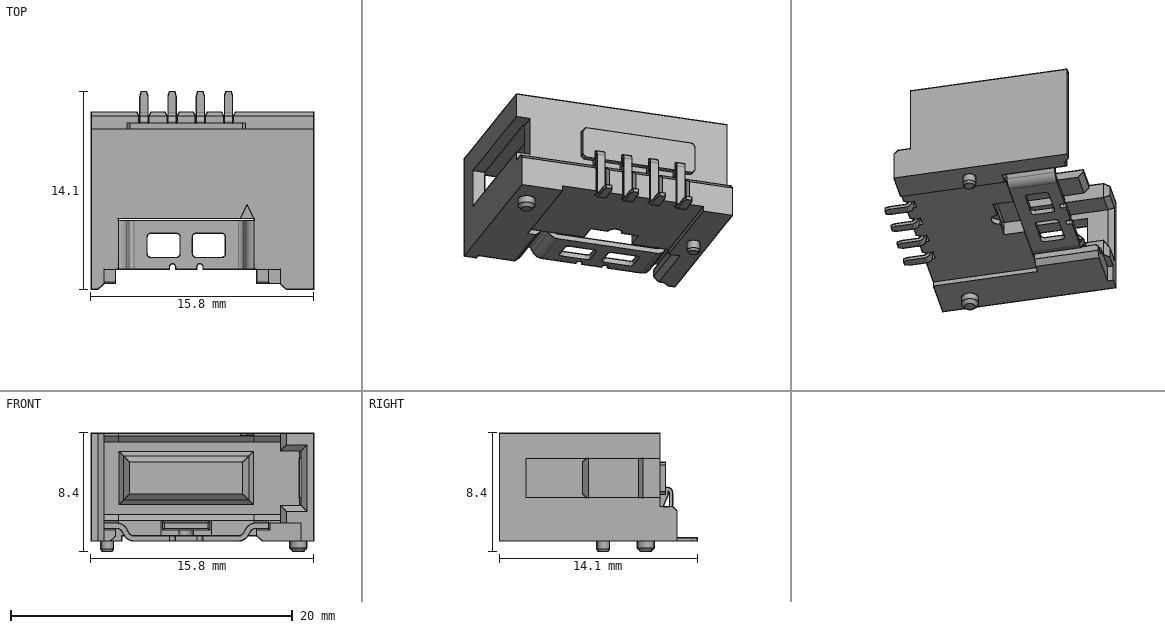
import cadquery as cq
import math


WIDTH = 15.8
LEFT_X = -6.75
RIGHT_X = LEFT_X + WIDTH
HEIGHT = 7.65
UPPER_DEPTH = 11.4
TAIL_DEPTH = 12.6
TAIL_HEIGHT = 2.45
TAIL_CHAMFER = 0.3

CAVITY_LEFT = -5.84
CAVITY_RIGHT = 6.68
CAVITY_BOTTOM = 1.88
CAVITY_TOP = 7.03
CAVITY_BACK = 10.2
KEY_RIGHT = 8.14
KEY_BOTTOM = 2.54
KEY_TOP = 6.4
LEAD_IN = 0.43
LEAD_IN_DEPTH = 0.38

PLATE_FRONT = 1.42
BLOCK_FRONT = 0.41
WINDOW_HALF = 4.81
WINDOW_BACK = 5.02
STEP_TOP = 0.89
STEP_SIDE = 5.82
BLOCK_TOP = 1.27
BLOCK_INNER = 5.0
BLOCK_CHAMFER = 0.4
SLOT_BEVEL = 0.13
SLOT_BEVEL_LOWER = 0.1

CHANNEL_LEFT = -4.56
CHANNEL_RIGHT = 6.0
CHANNEL_HEIGHT = 0.36
NOTCH_HALF = 1.79
NOTCH_BACK = 6.5
POCKET_HALF = 1.55
RECESS_DIAMETER = 1.04

SIDE_WINDOW_LEFT = 8.02
SIDE_WINDOW_FRONT = 1.88
SIDE_WINDOW_BOTTOM = 3.08
SIDE_WINDOW_TOP = 5.87

ARROW_X = 4.32
ARROW_HALF = 0.48
ARROW_LENGTH = 1.0
ARROW_DEPTH = 0.15

CORE_HALF = 4.76
CORE_BOTTOM = 2.59
CORE_TOP = 6.35
CORE_ROOT_FLARE = 0.32
CORE_TIP_Y = 5.9
CORE_CHAMFER = 0.43

PIN_PITCH = 2.0
PIN_COUNT = 4
PIN_WIDTH = 0.6
PIN_THICKNESS = 0.25
PIN_TOP = 3.82
PIN_BACK = 12.3
PIN_TIP_Y = 14.05
PIN_TIP_LENGTH = 0.35
PIN_TIP_INSET = 0.1
PIN_BEND = 0.42
PIN_FOOT_BEND = 0.2
PIN_SLOT_WIDTH = 0.7
PIN_SLOT_FRONT = 11.87
PIN_SLOT_FLARE = 0.15

BOSS_HALF = 4.2
BOSS_BOTTOM = 3.3
BOSS_TOP = 5.6
BOSS_BACK = 11.8
BOSS_CHAMFER = 0.22
RIB_TOP_Y = 11.98
RIB_FOOT_Y = 11.63

CLIP_FRONT = PLATE_FRONT
CLIP_BACK = 4.9
CLIP_THICKNESS = 0.38
CLIP_TAB_HALF = STEP_SIDE
CLIP_TAB_BOTTOM = STEP_TOP
CLIP_TAB_TOP = CLIP_TAB_BOTTOM + CLIP_THICKNESS
CLIP_BEND_OUTER = 4.57
CLIP_BEND_INNER = 4.06
CLIP_BEND_RADIUS = 0.41
HOLE_X = 1.605
HOLE_WIDTH = 2.32
HOLE_LENGTH = 1.7
HOLE_Y = 3.13
HOLE_RADIUS = 0.25
EDGE_NOTCH_X = 0.97
EDGE_NOTCH_WIDTH = 0.42
EDGE_NOTCH_DEPTH = 0.4

PEG_LENGTH = 0.75
PEGS = [
    (-5.61, 7.36, 0.92, 0.1, 0.17),
    (7.95, 10.38, 1.22, 0.24, 0.25),
]


def box(x0, x1, y0, y1, z0, z1):
    """Axis-aligned block between two corners."""
    return cq.Workplane("XY").box(x1 - x0, y1 - y0, z1 - z0, centered=False).translate((x0, y0, z0))


def prism_x(points, x0, x1):
    """Prism of a (y, z) outline between two X positions."""
    return cq.Workplane("YZ", origin=(x0, 0, 0)).polyline(points).close().extrude(x1 - x0)


def prism_y(points, y0, y1):
    """Prism of an (x, z) outline between two Y positions."""
    return cq.Workplane("XZ", origin=(0, y0, 0)).polyline(points).close().extrude(y0 - y1)


def prism_z(points, z0, z1):
    """Prism of an (x, y) outline between two Z positions."""
    return cq.Workplane("XY", origin=(0, 0, z0)).polyline(points).close().extrude(z1 - z0)


def tapered_block(half, z0, z1, y0, y1, inset):
    """Block along Y, centred on X = 0, whose section shrinks by inset from y0 to y1."""
    middle = (z0 + z1) / 2
    height = z1 - z0
    return (
        cq.Workplane("XZ", origin=(0, y0, middle))
        .rect(2 * half, height)
        .workplane(offset=y0 - y1)
        .rect(2 * (half - inset), height - 2 * inset)
        .loft(ruled=True)
    )


def make_shell():
    """Housing block with its low tail at the back."""
    outline = [
        (0, 0),
        (TAIL_DEPTH, 0),
        (TAIL_DEPTH, TAIL_HEIGHT - TAIL_CHAMFER),
        (TAIL_DEPTH - TAIL_CHAMFER, TAIL_HEIGHT),
        (UPPER_DEPTH, TAIL_HEIGHT),
        (UPPER_DEPTH, HEIGHT),
        (0, HEIGHT),
    ]
    return prism_x(outline, LEFT_X, RIGHT_X)


def cut_cavity(body):
    """Cavity, keyway and the lead-in bevels on their walls."""
    body = body.cut(box(CAVITY_LEFT, CAVITY_RIGHT, 0, CAVITY_BACK, CAVITY_BOTTOM, CAVITY_TOP))
    body = body.cut(box(0, KEY_RIGHT, 0, CAVITY_BACK, KEY_BOTTOM, KEY_TOP))

    key_root = KEY_RIGHT - SIDE_WINDOW_LEFT
    root_bevel = [
        (SIDE_WINDOW_LEFT, CAVITY_BACK),
        (KEY_RIGHT, CAVITY_BACK),
        (KEY_RIGHT, CAVITY_BACK - key_root),
    ]
    body = body.union(prism_z(root_bevel, KEY_BOTTOM, KEY_TOP))

    left_bevel = [
        (CAVITY_LEFT - LEAD_IN, 0),
        (CAVITY_RIGHT, 0),
        (CAVITY_RIGHT, LEAD_IN_DEPTH),
        (CAVITY_LEFT, LEAD_IN_DEPTH),
    ]
    body = body.cut(prism_z(left_bevel, 0, HEIGHT))
    right_bevel = [
        (0, 0),
        (CAVITY_RIGHT + LEAD_IN, 0),
        (CAVITY_RIGHT, LEAD_IN_DEPTH),
        (0, LEAD_IN_DEPTH),
    ]
    body = body.cut(prism_z(right_bevel, BLOCK_TOP, HEIGHT))
    key_bevel = tapered_block(
        KEY_RIGHT + LEAD_IN, KEY_BOTTOM - LEAD_IN, KEY_TOP + LEAD_IN, 0, LEAD_IN_DEPTH, LEAD_IN
    )
    return body.cut(key_bevel.intersect(box(0, RIGHT_X, 0, LEAD_IN_DEPTH, 0, HEIGHT)))


def cut_mating_edge(body):
    """Set back the roof and floor edges, open the window and bevel the new edges."""
    body = body.cut(box(CAVITY_LEFT, CAVITY_RIGHT, 0, PLATE_FRONT, STEP_TOP, HEIGHT))
    body = body.cut(box(-BLOCK_INNER, BLOCK_INNER, 0, WINDOW_BACK, 0, STEP_TOP))
    body = body.cut(box(-WINDOW_HALF, WINDOW_HALF, 0, WINDOW_BACK, 0, HEIGHT))
    body = body.cut(box(CAVITY_LEFT, KEY_RIGHT, 0, BLOCK_FRONT, 0, BLOCK_TOP))
    body = body.union(box(STEP_SIDE, KEY_RIGHT, BLOCK_FRONT, PLATE_FRONT, 0, BLOCK_TOP))

    spans = [
        (CAVITY_LEFT, -WINDOW_HALF, PLATE_FRONT),
        (-WINDOW_HALF, WINDOW_HALF, WINDOW_BACK),
        (WINDOW_HALF, CAVITY_RIGHT, PLATE_FRONT),
    ]
    for x0, x1, edge in spans:
        bevel = [
            (edge, CAVITY_BOTTOM - LEAD_IN),
            (edge + LEAD_IN_DEPTH, CAVITY_BOTTOM),
            (edge + LEAD_IN_DEPTH, CAVITY_TOP),
            (edge, CAVITY_TOP + LEAD_IN),
        ]
        body = body.cut(prism_x(bevel, x0, x1))

    step_front = [
        (BLOCK_FRONT, STEP_TOP - SLOT_BEVEL_LOWER),
        (BLOCK_FRONT + SLOT_BEVEL, STEP_TOP),
        (BLOCK_FRONT, STEP_TOP),
    ]
    body = body.cut(prism_x(step_front, CAVITY_LEFT, STEP_SIDE))
    step_side = [
        (STEP_SIDE, BLOCK_FRONT),
        (STEP_SIDE + SLOT_BEVEL, BLOCK_FRONT),
        (STEP_SIDE, BLOCK_FRONT + SLOT_BEVEL),
    ]
    body = body.cut(prism_z(step_side, STEP_TOP - SLOT_BEVEL_LOWER, BLOCK_TOP))

    for side in (-1, 1):
        corner = [
            (side * BLOCK_INNER, 0),
            (side * (BLOCK_INNER + BLOCK_CHAMFER), 0),
            (side * BLOCK_INNER, CHANNEL_HEIGHT),
        ]
        body = body.cut(prism_y(corner, 0, WINDOW_BACK))
    return body


def cut_underside(body):
    """Channel under the floor, centre notch with its pocket and recess, and bevels over the clip tabs."""
    body = body.cut(box(CHANNEL_LEFT, CHANNEL_RIGHT, WINDOW_BACK, TAIL_DEPTH, 0, CHANNEL_HEIGHT))
    notch_top = CAVITY_BOTTOM - LEAD_IN
    body = body.cut(box(-NOTCH_HALF, NOTCH_HALF, WINDOW_BACK, NOTCH_BACK, 0, notch_top))
    pocket = (
        cq.Workplane("XZ", origin=(0, NOTCH_BACK, (STEP_TOP - SLOT_BEVEL_LOWER + notch_top) / 2))
        .rect(2 * (POCKET_HALF + SLOT_BEVEL), notch_top - STEP_TOP + SLOT_BEVEL_LOWER)
        .workplane(offset=-SLOT_BEVEL, origin=(0, NOTCH_BACK, (STEP_TOP + BLOCK_TOP) / 2))
        .rect(2 * POCKET_HALF, BLOCK_TOP - STEP_TOP)
        .loft(ruled=True)
    )
    body = body.cut(pocket)
    recess = cq.Workplane("XY", origin=(0, NOTCH_BACK, CHANNEL_HEIGHT)).circle(RECESS_DIAMETER / 2)
    body = body.cut(recess.extrude(STEP_TOP - SLOT_BEVEL_LOWER - CHANNEL_HEIGHT))

    tab_bevel = [
        (PLATE_FRONT, BLOCK_TOP),
        (PLATE_FRONT + SLOT_BEVEL, BLOCK_TOP),
        (PLATE_FRONT, notch_top),
    ]
    for x0, x1 in ((CAVITY_LEFT, -WINDOW_HALF), (WINDOW_HALF, STEP_SIDE)):
        body = body.cut(prism_x(tab_bevel, x0, x1))
    return body


def cut_side_window(body):
    """Window along the right wall, open at the back."""
    return body.cut(
        box(SIDE_WINDOW_LEFT, RIGHT_X, SIDE_WINDOW_FRONT, UPPER_DEPTH, SIDE_WINDOW_BOTTOM, SIDE_WINDOW_TOP)
    )


def cut_arrow(body):
    """Shallow arrow mark behind the window."""
    arrow = [
        (ARROW_X - ARROW_HALF, WINDOW_BACK),
        (ARROW_X + ARROW_HALF, WINDOW_BACK),
        (ARROW_X, WINDOW_BACK + ARROW_LENGTH),
    ]
    return body.cut(prism_z(arrow, HEIGHT - ARROW_DEPTH, HEIGHT))


def make_core():
    """Straight core on the cavity's back wall, flared at the root and bevelled at the tip."""
    half = CORE_HALF - CORE_ROOT_FLARE
    bottom = CORE_BOTTOM + CORE_ROOT_FLARE
    top = CORE_TOP - CORE_ROOT_FLARE
    root_end = CAVITY_BACK - CORE_ROOT_FLARE
    shoulder = CORE_TIP_Y + CORE_CHAMFER
    root = tapered_block(CORE_HALF, CORE_BOTTOM, CORE_TOP, CAVITY_BACK, root_end, CORE_ROOT_FLARE)
    shaft = box(-half, half, shoulder, root_end, bottom, top)
    tip = tapered_block(half, bottom, top, shoulder, CORE_TIP_Y, CORE_CHAMFER)
    return root.union(shaft).union(tip)


def make_boss():
    """Raised pad on the back wall with cut corners."""
    pad = box(-BOSS_HALF, BOSS_HALF, UPPER_DEPTH, BOSS_BACK, BOSS_BOTTOM, BOSS_TOP)
    return pad.edges("|Y").chamfer(BOSS_CHAMFER)


def cut_pin_slot(body, x):
    """Flared slot in the tail for one terminal."""
    half = PIN_SLOT_WIDTH / 2
    flare_start = TAIL_DEPTH - TAIL_CHAMFER
    slot = [
        (x - half, PIN_SLOT_FRONT),
        (x - half, flare_start),
        (x - half - PIN_SLOT_FLARE, TAIL_DEPTH),
        (x + half + PIN_SLOT_FLARE, TAIL_DEPTH),
        (x + half, flare_start),
        (x + half, PIN_SLOT_FRONT),
    ]
    return body.cut(prism_z(slot, 0, TAIL_HEIGHT))


def make_pin(x):
    """One terminal, bent down behind the housing and out along the board, with its rib."""
    inner_y = PIN_BACK - PIN_THICKNESS
    x0 = x - PIN_WIDTH / 2
    x1 = x + PIN_WIDTH / 2
    strip = [
        (CAVITY_BACK, PIN_TOP - PIN_THICKNESS),
        (inner_y, PIN_TOP - PIN_THICKNESS),
        (inner_y, 0),
        (PIN_TIP_Y, 0),
        (PIN_TIP_Y, PIN_THICKNESS),
        (PIN_BACK, PIN_THICKNESS),
        (PIN_BACK, PIN_TOP),
        (CAVITY_BACK, PIN_TOP),
    ]
    pin = prism_x(strip, x0, x1)
    top_edge = cq.selectors.NearestToPointSelector((x, PIN_BACK, PIN_TOP))
    pin = pin.edges(top_edge).fillet(PIN_BEND)
    under_edge = cq.selectors.NearestToPointSelector((x, inner_y, PIN_TOP - PIN_THICKNESS))
    pin = pin.edges(under_edge).fillet(PIN_BEND - PIN_THICKNESS)
    foot_edge = cq.selectors.NearestToPointSelector((x, PIN_BACK, PIN_THICKNESS))
    pin = pin.edges(foot_edge).fillet(PIN_FOOT_BEND)
    heel_edge = cq.selectors.NearestToPointSelector((x, inner_y, 0))
    pin = pin.edges(heel_edge).fillet(PIN_FOOT_BEND + PIN_THICKNESS)
    for side in (-1, 1):
        edge_x = x + side * PIN_WIDTH / 2
        corner = [
            (edge_x, PIN_TIP_Y - PIN_TIP_LENGTH),
            (edge_x, PIN_TIP_Y),
            (edge_x - side * PIN_TIP_INSET, PIN_TIP_Y),
        ]
        pin = pin.cut(prism_z(corner, 0, PIN_THICKNESS))
    rib = [
        (UPPER_DEPTH, TAIL_HEIGHT),
        (RIB_FOOT_Y, TAIL_HEIGHT),
        (RIB_TOP_Y, BOSS_BOTTOM),
        (RIB_TOP_Y, PIN_TOP - PIN_THICKNESS),
        (UPPER_DEPTH, PIN_TOP - PIN_THICKNESS),
    ]
    return pin.union(prism_x(rib, x0, x1))


def make_clip():
    """Bent sheet clip spanning the window, with two holes and two edge notches."""
    slope = math.atan2(CLIP_TAB_BOTTOM, CLIP_BEND_OUTER - CLIP_BEND_INNER)
    shift = CLIP_THICKNESS / 2 * math.tan(slope / 2)
    tab_under = (CLIP_BEND_OUTER + shift, CLIP_TAB_BOTTOM)
    tab_over = (CLIP_BEND_OUTER - shift, CLIP_TAB_TOP)
    plate_under = (CLIP_BEND_INNER + shift, 0)
    plate_over = (CLIP_BEND_INNER - shift, CLIP_THICKNESS)
    right_half = [
        plate_under,
        tab_under,
        (CLIP_TAB_HALF, CLIP_TAB_BOTTOM),
        (CLIP_TAB_HALF, CLIP_TAB_TOP),
        tab_over,
        plate_over,
    ]
    left_half = [(-px, pz) for px, pz in reversed(right_half)]
    clip = prism_y(right_half + left_half, CLIP_FRONT, CLIP_BACK)

    middle_y = (CLIP_FRONT + CLIP_BACK) / 2
    outer_radius = CLIP_BEND_RADIUS + CLIP_THICKNESS
    bends = [
        (tab_under, CLIP_BEND_RADIUS),
        (tab_over, outer_radius),
        (plate_under, outer_radius),
        (plate_over, CLIP_BEND_RADIUS),
    ]
    for side in (-1, 1):
        for (px, pz), radius in bends:
            bend_edge = cq.selectors.NearestToPointSelector((side * px, middle_y, pz))
            clip = clip.edges("|Y").edges(bend_edge).fillet(radius)

    for side in (-1, 1):
        hole = box(
            side * HOLE_X - HOLE_WIDTH / 2,
            side * HOLE_X + HOLE_WIDTH / 2,
            HOLE_Y - HOLE_LENGTH / 2,
            HOLE_Y + HOLE_LENGTH / 2,
            0,
            CLIP_THICKNESS,
        )
        clip = clip.cut(hole.edges("|Z").fillet(HOLE_RADIUS))
        notch = cq.Workplane("XY", origin=(side * EDGE_NOTCH_X, CLIP_FRONT, 0)).slot2D(
            2 * EDGE_NOTCH_DEPTH, EDGE_NOTCH_WIDTH, 90
        )
        clip = clip.cut(notch.extrude(CLIP_THICKNESS))
    return clip


def make_peg(x, y, diameter, bevel_radial, bevel_height):
    """Board locating peg with a conical tip."""
    radius = diameter / 2
    profile = [
        (0, 0),
        (radius, 0),
        (radius, bevel_height - PEG_LENGTH),
        (radius - bevel_radial, -PEG_LENGTH),
        (0, -PEG_LENGTH),
    ]
    peg = cq.Workplane("XZ").polyline(profile).close().revolve(360, (0, 0, 0), (0, 1, 0))
    return peg.translate((x, y, 0))


body = make_shell()
body = cut_cavity(body)
body = cut_mating_edge(body)
body = cut_underside(body)
body = cut_side_window(body)
body = cut_arrow(body)
body = body.union(make_core()).union(make_boss())
for index in range(PIN_COUNT):
    pin_x = (index - (PIN_COUNT - 1) / 2) * PIN_PITCH
    body = cut_pin_slot(body, pin_x)
    body = body.union(make_pin(pin_x))
body = body.union(make_clip())
for peg in PEGS:
    body = body.union(make_peg(*peg))
result = body